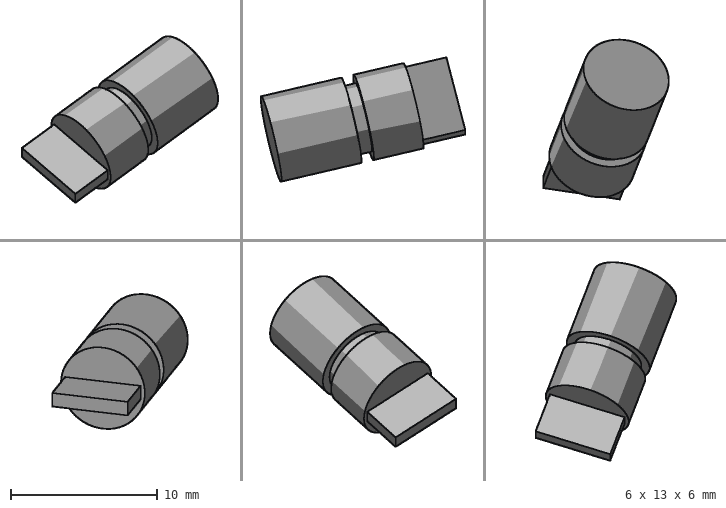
import cadquery as cq

total_length = 13.0
body_diameter = 6.0

tab_length = 3.0
tab_width = 5.4
tab_thickness = 1.0

front_collar_length = 3.5
groove_width = 0.87
groove_diameter = 4.82

body_length = total_length - tab_length
rear_length = body_length - front_collar_length - groove_width


def add_cylinder(part, diameter, length):
    """Extend the part along +Y with a coaxial cylinder on its rear face."""
    return part.faces(">Y").workplane(origin=(0, 0, 0)).circle(diameter / 2).extrude(length)


part = cq.Workplane("XY").box(tab_width, tab_length, tab_thickness, centered=(True, False, True))
part = add_cylinder(part, body_diameter, front_collar_length)
part = add_cylinder(part, groove_diameter, groove_width)
part = add_cylinder(part, body_diameter, rear_length)

result = part